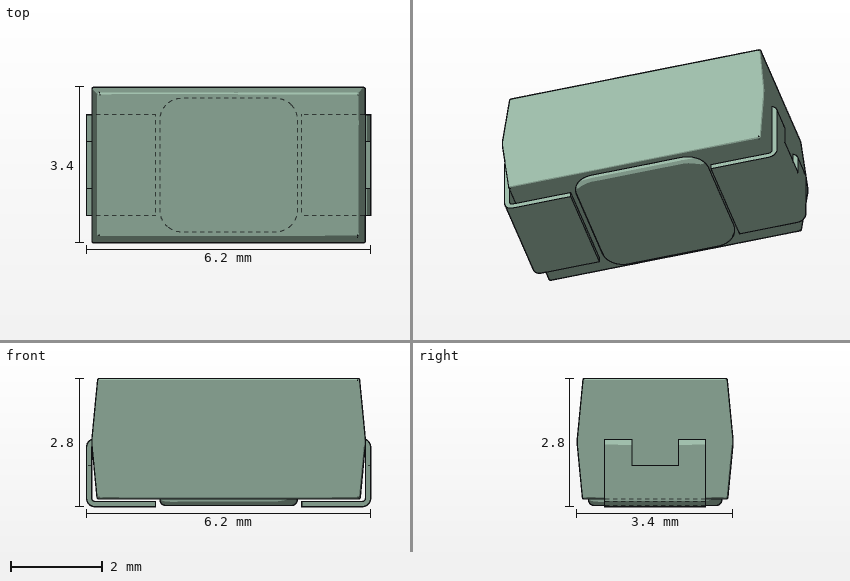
import cadquery as cq
import math

overall_length = 6.2
housing_width = 3.4
housing_top = 2.8

lead_thickness = 0.12
lead_width = 2.2
lead_bend_radius = 0.19
lead_foot_end = 1.595
notch_width = 1.015
notch_bottom = 0.9

housing_length = overall_length - 2 * lead_thickness
housing_bottom = 0.17
belt_bottom = 1.345
belt_top = 1.49
draft_angle = 5.5
edge_radius = 0.05

pad_length = 3.0
pad_width = 2.915
pad_bottom = 0.025
pad_corner_radius = 0.48
pad_edge_radius = 0.135


def drafted_block(start_z, end_z):
    """Rectangular block that narrows from the belt outline at start_z to end_z."""
    height = abs(end_z - start_z)
    inset = height * math.tan(math.radians(draft_angle))
    return (
        cq.Workplane("XY", origin=(0, 0, start_z))
        .rect(housing_length, housing_width)
        .workplane(offset=end_z - start_z)
        .rect(housing_length - 2 * inset, housing_width - 2 * inset)
        .loft(ruled=True)
    )


def make_pad():
    """Pad with round corners and a rounded lower rim, joined to the housing underside."""
    return (
        cq.Workplane("XY", origin=(0, 0, pad_bottom))
        .rect(pad_length, pad_width)
        .extrude(housing_bottom - pad_bottom)
        .edges("|Z")
        .fillet(pad_corner_radius)
        .faces("<Z")
        .edges()
        .fillet(pad_edge_radius)
    )


def make_housing():
    belt = (
        cq.Workplane("XY", origin=(0, 0, belt_bottom))
        .rect(housing_length, housing_width)
        .extrude(belt_top - belt_bottom)
    )
    shell = belt.union(drafted_block(belt_top, housing_top))
    shell = shell.union(drafted_block(belt_bottom, housing_bottom))
    shell = shell.edges("not(#Z)").fillet(edge_radius)
    shell = shell.faces(">Z or <Z").edges().fillet(edge_radius)
    return shell.union(make_pad())


def make_lead(side):
    """Lead at the +X end (side = 1) or the -X end (side = -1)."""
    outer_x = overall_length / 2
    inner_x = outer_x - lead_thickness
    inner_radius = lead_bend_radius - lead_thickness
    bend_x = outer_x - lead_bend_radius
    top_bend_z = belt_top - lead_bend_radius
    tip_z = top_bend_z + math.sqrt(lead_bend_radius**2 - (inner_x - bend_x) ** 2)

    profile = (
        cq.Workplane("XZ")
        .moveTo(lead_foot_end, 0)
        .lineTo(bend_x, 0)
        .radiusArc((outer_x, lead_bend_radius), -lead_bend_radius)
        .lineTo(outer_x, top_bend_z)
        .radiusArc((inner_x, tip_z), -lead_bend_radius)
        .lineTo(inner_x, lead_bend_radius)
        .radiusArc((bend_x, lead_thickness), inner_radius)
        .lineTo(lead_foot_end, lead_thickness)
        .close()
    )
    lead = profile.extrude(lead_width / 2, both=True)
    notch_height = belt_top - notch_bottom
    notch = cq.Workplane("XY", origin=(outer_x, 0, notch_bottom)).box(
        2 * lead_bend_radius, notch_width, notch_height, centered=(True, True, False)
    )
    lead = lead.cut(notch)
    return lead if side > 0 else lead.mirror("YZ")


housing = make_housing()
leads = [make_lead(side) for side in (-1, 1)]

result = cq.Compound.makeCompound([housing.solids().val(), *[lead.solids().val() for lead in leads]])